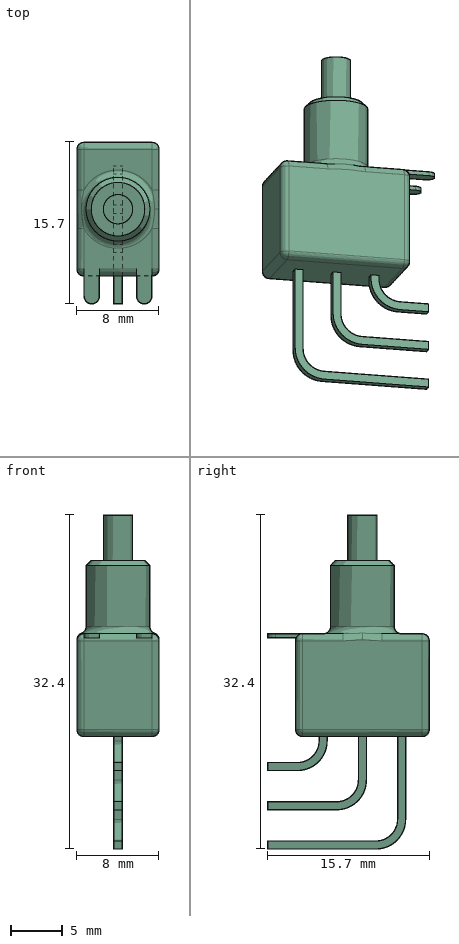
import cadquery as cq

HOUSING_X = 8.0
HOUSING_Y = 13.0
HOUSING_Z = 10.0
EDGE_RADIUS = 0.7

BUSHING_DIAMETER = 6.2
BUSHING_HEIGHT = 7.12
BUSHING_CHAMFER = 0.5
BUSHING_ROOT_RADIUS = 0.7
BUTTON_DIAMETER = 2.85
BUTTON_HEIGHT = 4.4

FRONT_OVERHANG = 2.7
TIP_Y = -HOUSING_Y / 2 - FRONT_OVERHANG

TAB_WIDTH = 1.5
TAB_THICKNESS = 0.4
TAB_CENTRE_X = HOUSING_X / 2 - EDGE_RADIUS - TAB_WIDTH / 2
TAB_ROOT_Y = -HOUSING_Y / 2 + EDGE_RADIUS

LEAD_COUNT = 3
LEAD_PITCH = 3.81
LEAD_WIDTH = 0.85
LEAD_THICKNESS = 0.8
LEAD_INNER_RADIUS = 2.1
TOTAL_HEIGHT = 32.44
LOWEST_Z = BUSHING_HEIGHT + BUTTON_HEIGHT - TOTAL_HEIGHT


def make_housing_with_bushing():
    """Block and bushing, with the block edges rounded into the bushing root fillet."""
    block = cq.Workplane("XY").box(HOUSING_X, HOUSING_Y, HOUSING_Z)
    block = block.translate((0, 0, -HOUSING_Z / 2))
    bushing = cq.Workplane("XY").circle(BUSHING_DIAMETER / 2).extrude(BUSHING_HEIGHT)
    body = block.union(bushing)
    body = body.faces(">Z").edges().chamfer(BUSHING_CHAMFER)

    body = body.edges("%CIRCLE").edges("<Z").fillet(BUSHING_ROOT_RADIUS)

    return body.edges("%LINE and (|X or |Y or (|Z and (<X or >X)))").fillet(EDGE_RADIUS)


def make_button():
    """Push button rising from the top of the bushing."""
    return (
        cq.Workplane("XY")
        .workplane(offset=BUSHING_HEIGHT)
        .circle(BUTTON_DIAMETER / 2)
        .extrude(BUTTON_HEIGHT)
    )


def make_tab(centre_x):
    """Flat tab with a round tip, projecting forward from the housing top."""
    half_width = TAB_WIDTH / 2
    return (
        cq.Workplane("XY")
        .moveTo(centre_x - half_width, TAB_ROOT_Y)
        .lineTo(centre_x - half_width, TIP_Y + half_width)
        .threePointArc((centre_x, TIP_Y), (centre_x + half_width, TIP_Y + half_width))
        .lineTo(centre_x + half_width, TAB_ROOT_Y)
        .close()
        .extrude(-TAB_THICKNESS)
    )


def make_lead(centre_y, bottom_z):
    """Lead that drops from the housing and bends forward to the tip plane."""
    back_y = centre_y + LEAD_THICKNESS / 2
    front_y = back_y - LEAD_THICKNESS
    outer_radius = LEAD_INNER_RADIUS + LEAD_THICKNESS
    top_z = bottom_z + LEAD_THICKNESS
    bend_y = back_y - outer_radius
    bend_z = bottom_z + outer_radius
    return (
        cq.Workplane("YZ")
        .moveTo(back_y, -HOUSING_Z)
        .lineTo(back_y, bend_z)
        .radiusArc((bend_y, bottom_z), outer_radius)
        .lineTo(TIP_Y, bottom_z)
        .lineTo(TIP_Y, top_z)
        .lineTo(bend_y, top_z)
        .radiusArc((front_y, bend_z), -LEAD_INNER_RADIUS)
        .lineTo(front_y, -HOUSING_Z)
        .close()
        .extrude(LEAD_WIDTH / 2, both=True)
    )


result = make_housing_with_bushing().union(make_button())

for side in (-1, 1):
    result = result.union(make_tab(side * TAB_CENTRE_X))

for index in range(LEAD_COUNT):
    lead_y = ((LEAD_COUNT - 1) / 2 - index) * LEAD_PITCH
    result = result.union(make_lead(lead_y, LOWEST_Z + index * LEAD_PITCH))